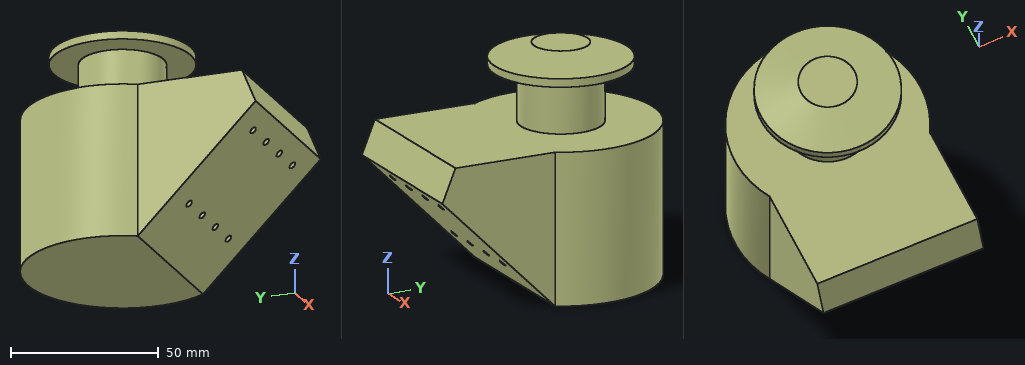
import cadquery as cq
import math

housing_height = 55
nose_width = 60
nose_root_y = -17.5
nose_top_length = 38
underside_angle = 45
front_face_angle = 22.5

barrel_radius = math.hypot(nose_width / 2, nose_root_y)

underside_slope = math.tan(math.radians(underside_angle))
front_face_lean = math.tan(math.radians(front_face_angle))
nose_end_height = housing_height - nose_top_length * underside_slope
tip_overhang = nose_end_height / (underside_slope + 1 / front_face_lean)
nose_top_y = nose_root_y - nose_top_length
tip_y = nose_top_y - tip_overhang
tip_z = housing_height - tip_overhang / front_face_lean
underside_length = math.hypot(tip_y - nose_root_y, tip_z)

hole_diameter = 2.5
hole_depth = 10
hole_columns = 4
hole_column_pitch = 12
hole_rows = 2
hole_row_pitch = 33
hole_tip_margin = 8

stem_diameter = 30
stem_height = 20
head_diameter = 50
head_rim_height = 3
head_cone_height = 5
head_top_diameter = 20


def make_plan_block():
    """Barrel circle joined to the nose rectangle, at full housing height."""
    barrel = cq.Workplane("XY").circle(barrel_radius).extrude(housing_height)
    nose = (
        cq.Workplane("XY")
        .rect(nose_width, -tip_y)
        .extrude(housing_height)
        .translate((0, tip_y / 2, 0))
    )
    return barrel.union(nose)


def make_side_profile():
    """Side outline in YZ, wide enough to span the barrel."""
    return (
        cq.Workplane("YZ")
        .moveTo(barrel_radius, 0)
        .lineTo(nose_root_y, 0)
        .lineTo(tip_y, tip_z)
        .lineTo(nose_top_y, housing_height)
        .lineTo(barrel_radius, housing_height)
        .close()
        .extrude(barrel_radius, both=True)
    )


def make_underside_holes():
    """Cylinders that start on the sloping underside and run into the nose."""
    angle = math.radians(underside_angle)
    inward = (0, math.sin(angle), math.cos(angle))
    underside = cq.Plane(origin=(0, nose_root_y, 0), xDir=(1, 0, 0), normal=inward)
    hole_row_middle = underside_length - hole_tip_margin - hole_row_pitch / 2
    return (
        cq.Workplane(underside)
        .center(0, -hole_row_middle)
        .rarray(hole_column_pitch, hole_row_pitch, hole_columns, hole_rows)
        .circle(hole_diameter / 2)
        .extrude(hole_depth)
    )


def make_housing():
    """Plan block trimmed to the side outline, with the holes drilled."""
    body = make_plan_block().intersect(make_side_profile())
    return body.cut(make_underside_holes()).solids()


def make_button():
    """Stem, rim and cone-topped head turned about the Z axis."""
    rim_bottom = housing_height + stem_height
    rim_top = rim_bottom + head_rim_height
    head_top = rim_top + head_cone_height
    return (
        cq.Workplane("XZ")
        .moveTo(0, housing_height)
        .lineTo(stem_diameter / 2, housing_height)
        .lineTo(stem_diameter / 2, rim_bottom)
        .lineTo(head_diameter / 2, rim_bottom)
        .lineTo(head_diameter / 2, rim_top)
        .lineTo(head_top_diameter / 2, head_top)
        .lineTo(0, head_top)
        .close()
        .revolve(360, (0, 0, 0), (0, 1, 0))
    )


housing = make_housing()
button = make_button()

result = cq.Compound.makeCompound([housing.val(), button.val()])